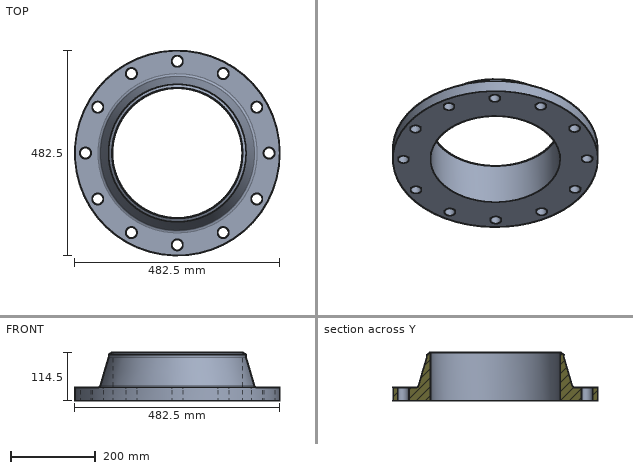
import cadquery as cq

flange_diameter = 482.5
flange_thickness = 32.0
bore_diameter = 305.0

total_height = 114.5
hub_base_diameter = 365.0
neck_diameter = 323.5
neck_end_length = 12.0
bevel_height = 6.0
weld_land_width = 1.5
hub_fillet_radius = 6.5

bolt_hole_count = 12
bolt_hole_diameter = 25.5
bolt_circle_diameter = 432.0

flange_radius = flange_diameter / 2
bore_radius = bore_diameter / 2
hub_base_radius = hub_base_diameter / 2
neck_radius = neck_diameter / 2
weld_land_radius = bore_radius + weld_land_width
cone_top = total_height - neck_end_length
bevel_bottom = total_height - bevel_height


def make_flange_body():
    """Revolve the half section of plate, cone, straight neck and weld bevel about Z."""
    half_section = (
        cq.Workplane("XZ")
        .moveTo(bore_radius, 0)
        .lineTo(flange_radius, 0)
        .lineTo(flange_radius, flange_thickness)
        .lineTo(hub_base_radius, flange_thickness)
        .lineTo(neck_radius, cone_top)
        .lineTo(neck_radius, bevel_bottom)
        .lineTo(weld_land_radius, total_height)
        .lineTo(bore_radius, total_height)
        .close()
    )
    return half_section.revolve(360, (0, 0, 0), (0, 1, 0))


def round_hub_base(body):
    """Fillet the circular corner where the cone meets the top of the plate."""
    plate_top_zone = cq.selectors.BoxSelector(
        (-flange_radius, -flange_radius, flange_thickness - hub_fillet_radius),
        (flange_radius, flange_radius, flange_thickness + hub_fillet_radius),
    )
    plate_top_circles = body.edges("%CIRCLE").edges(plate_top_zone)
    hub_corner = plate_top_circles.edges(cq.selectors.RadiusNthSelector(0))
    return hub_corner.fillet(hub_fillet_radius)


def make_bolt_holes():
    """Cylinders through the plate, the first one on the +X axis."""
    return (
        cq.Workplane("XY")
        .polarArray(bolt_circle_diameter / 2, 0, 360, bolt_hole_count)
        .circle(bolt_hole_diameter / 2)
        .extrude(flange_thickness)
    )


result = round_hub_base(make_flange_body()).cut(make_bolt_holes())